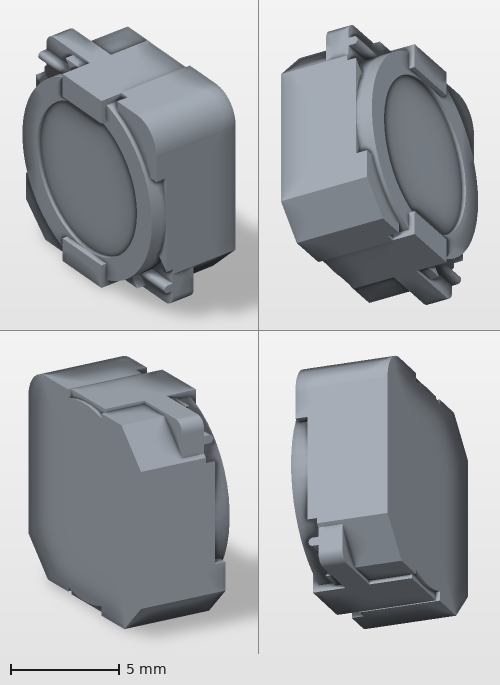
import cadquery as cq

WIDTH = 10.0
DEPTH = 5.1
HEIGHT = 10.2
BACK_Y = DEPTH / 2
LIP_Y = -DEPTH / 2

CORE_FRONT_Y = -1.43
CORNER_FRONT_Y = -2.02
CORNER_X = 2.01
CORNER_Z = 2.2
LOW_Z = 4.88
ARM_CORNER_CHAMFER = 1.73
PLAIN_CORNER = 1.48
DRUM_RADIUS = 4.97
DRUM_FRONT_Y = -2.25
DIMPLE_RADIUS = 3.82
DIMPLE_DEPTH = 0.2

TERMINAL_HALF = 1.494
TERMINAL_Z = 5.06
TERMINAL_BACK_Y = 2.36
LIP_EDGE_Z = 3.84
ARM_X = -4.85
ARM_BACK_Y = 0.24
ARM_FRONT_Y = -0.95
ARM_RADIUS = 0.56
WIRE_RADIUS = 0.2
WIRE_Z = 3.96
WIRE_INNER_X = -2.45

HALF_WIDTH = WIDTH / 2
HALF_HEIGHT = HEIGHT / 2


def block(x0, x1, y0, y1, z0, z1):
    """Box between two opposite corners."""
    return cq.Workplane("XY").box(x1 - x0, y1 - y0, z1 - z0, centered=False).translate((x0, y0, z0))


def disc(radius, y0, y1):
    """Round disc about the Y axis."""
    return cq.Workplane("XZ", origin=(0, y1, 0)).circle(radius).extrude(y1 - y0)


def half_turn(shape):
    """Copy turned 180 degrees about the Y axis."""
    return shape.rotate((0, 0, 0), (0, 1, 0), 180)


def make_shield():
    chamfer_x = HALF_WIDTH - ARM_CORNER_CHAMFER
    chamfer_z = LOW_Z - ARM_CORNER_CHAMFER
    shield = (
        cq.Workplane("XZ", origin=(0, BACK_Y, 0))
        .moveTo(-HALF_WIDTH, chamfer_z)
        .lineTo(-chamfer_x, LOW_Z)
        .lineTo(TERMINAL_HALF, LOW_Z)
        .lineTo(TERMINAL_HALF, HALF_HEIGHT)
        .lineTo(HALF_WIDTH - PLAIN_CORNER, HALF_HEIGHT)
        .radiusArc((HALF_WIDTH, HALF_HEIGHT - PLAIN_CORNER), PLAIN_CORNER)
        .lineTo(HALF_WIDTH, -chamfer_z)
        .lineTo(chamfer_x, -LOW_Z)
        .lineTo(-TERMINAL_HALF, -LOW_Z)
        .lineTo(-TERMINAL_HALF, -HALF_HEIGHT)
        .lineTo(PLAIN_CORNER - HALF_WIDTH, -HALF_HEIGHT)
        .lineTo(-HALF_WIDTH, PLAIN_CORNER - HALF_HEIGHT)
        .close()
        .extrude(BACK_Y - CORNER_FRONT_Y)
    )
    raised = block(CORNER_X, WIDTH, CORNER_FRONT_Y, CORE_FRONT_Y, CORNER_Z, HEIGHT)
    trim = block(-WIDTH, WIDTH, CORNER_FRONT_Y, CORE_FRONT_Y, -HEIGHT, HEIGHT)
    trim = trim.cut(raised).cut(half_turn(raised))
    channel = block(-WIDTH, WIDTH, CORE_FRONT_Y, ARM_FRONT_Y, -TERMINAL_HALF, TERMINAL_HALF)
    channel = channel.rotate((0, 0, 0), (0, 1, 0), 45)
    slot = block(-TERMINAL_HALF, TERMINAL_HALF, CORNER_FRONT_Y, BACK_Y, LIP_EDGE_Z, HEIGHT)
    return shield.cut(trim).cut(channel).cut(slot).cut(half_turn(slot))


def make_core():
    drum = disc(DRUM_RADIUS, DRUM_FRONT_Y, ARM_FRONT_Y).union(disc(LOW_Z, ARM_FRONT_Y, BACK_Y))
    dimple = disc(DIMPLE_RADIUS, DRUM_FRONT_Y, DRUM_FRONT_Y + DIMPLE_DEPTH)
    return make_shield().union(drum).cut(dimple)


def make_upper_terminal(core):
    plate = block(-TERMINAL_HALF, TERMINAL_HALF, LIP_Y, TERMINAL_BACK_Y, LIP_EDGE_Z, TERMINAL_Z)
    arm_end_z = LOW_Z + HALF_WIDTH - ARM_CORNER_CHAMFER + ARM_X
    arm = block(ARM_X, -TERMINAL_HALF, ARM_FRONT_Y, ARM_BACK_Y, arm_end_z, TERMINAL_Z)
    arm = arm.edges("|Y and <X and >Z").fillet(ARM_RADIUS)
    wire_axis_y = CORE_FRONT_Y + WIRE_RADIUS
    wire = block(
        ARM_X, WIRE_INNER_X, wire_axis_y, ARM_FRONT_Y, WIRE_Z - WIRE_RADIUS, WIRE_Z + WIRE_RADIUS
    )
    wire_round = (
        cq.Workplane("YZ", origin=(ARM_X, wire_axis_y, WIRE_Z))
        .circle(WIRE_RADIUS)
        .extrude(WIRE_INNER_X - ARM_X)
    )
    terminal = plate.union(arm).union(wire).union(wire_round)
    return terminal.cut(core)


core = make_core()
upper_terminal = make_upper_terminal(core)
terminals = [upper_terminal.rotate((0, 0, 0), (0, 1, 0), angle) for angle in (0, 180)]

result = cq.Compound.makeCompound([core.val(), *[terminal.val() for terminal in terminals]])